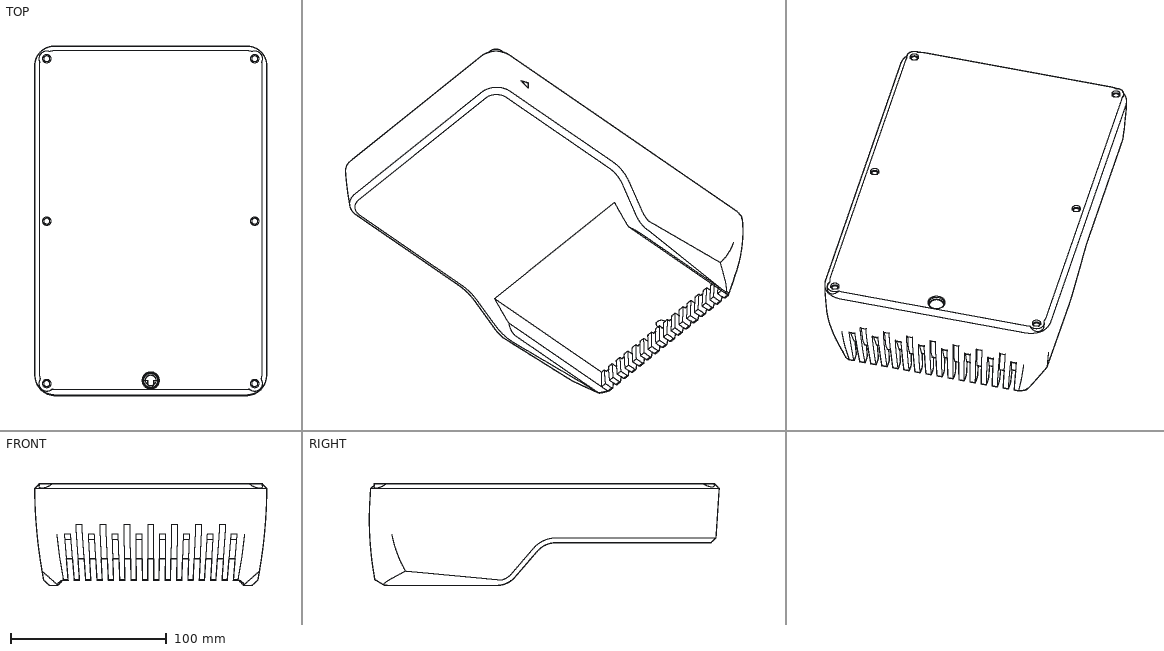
import cadquery as cq

height = 65.5
rear_y = 112.8
rear_foot_y = 110.3
front_rim_y = -111.5
front_middle_y = -112.3
front_foot_y = -108.3
half_width_rim = 74.7
half_width_middle = 73.2
half_width_foot = 68.2
corner_radius = 12.8
corner_growth = 12.4
corner_kink = 0.1
corner_flattening = 0.5
corner_sections = 5
rim_chamfer = 3.2
foot_chamfer = 3.2

step_z = 27.5
slope_top_y = 0.2
slope_foot_y = -23.5
slope_radius = 15.8

front_bevel_y = -102.6
front_bevel_slope = 0.6
flank_bevel_start_y = -29.3
flank_bevel_start_x = 65.3
flank_bevel_end_x = 59.6

recess_half_width = 56.7
recess_ceiling_z = 17.0
recess_front_y = -102.5
fin_foot_z = 3.2

slot_width = 3.8
slots_each_side = 7
end_slot_top_x = 53.8
end_slot_foot_x = 50.9
slot_pitch = end_slot_top_x / slots_each_side
slot_foot_pitch = end_slot_foot_x / slots_each_side
slot_bend_z = 36.0
slot_depth = 3.0
slot_floor_slope = 0.4
tall_slot_top_z = 39.5
tall_slot_edge_z = 24.0
short_slot_top_z = 33.3
short_slot_edge_z = 29.5

screw_x = 66.9
screw_y = 104.5
screw_collar_diameter = 10.0
screw_head_diameter = 5.5
screw_head_depth = 1.8
screw_diameter = 3.8
screw_depth = 9.0

port_y = -102.5
port_lead_in_diameter = 11.0
port_lead_in_depth = 0.56
port_bore_diameter = 10.0
port_bore_depth = 2.3
port_taper_top_diameter = 9.0
port_taper_foot_diameter = 6.8

arrow_tip_y = 89.1
arrow_base_y = 82.8
arrow_z = 46.1
arrow_half_height = 2.5
arrow_depth = 0.7

margin = 11.3


def bow(foot, middle, rim, z):
    """Position of a bowed wall at height z, as a parabola through its three driving points."""
    u = z / height
    bulge = middle - (rim + foot) / 2
    return foot + (rim - foot) * u + 4 * bulge * u * (1 - u)


def front_wall_y(z):
    return bow(front_foot_y, front_middle_y, front_rim_y, z)


def side_wall_x(z):
    return bow(half_width_foot, half_width_middle, half_width_rim, z)


def make_front_corner_cutter():
    """Waste outside the front +X corner, whose rounding lengthens along Y towards the foot."""
    cutter = cq.Workplane("XY")
    last_z = 0
    for step in range(corner_sections):
        z = height * step / (corner_sections - 1)
        wall_x = side_wall_x(z)
        wall_y = front_wall_y(z)
        drop = (1 - z / height) ** 3
        length = corner_radius + corner_growth * drop
        kink = corner_kink + corner_flattening * drop
        side_end = (wall_x, wall_y + length)
        front_end = (wall_x - corner_radius, wall_y)
        cutter = (
            cutter.workplane(offset=z - last_z)
            .moveTo(*side_end)
            .spline([front_end], tangents=[(-kink, -1), (-1, -kink)], includeCurrent=True)
            .lineTo(front_end[0], wall_y - margin)
            .lineTo(wall_x + margin, wall_y - margin)
            .lineTo(wall_x + margin, side_end[1])
            .close()
        )
        last_z = z
    return cutter.loft()


def make_body():
    across = (
        cq.Workplane("XZ")
        .moveTo(-half_width_foot, 0)
        .threePointArc((-half_width_middle, height / 2), (-half_width_rim, height))
        .lineTo(half_width_rim, height)
        .threePointArc((half_width_middle, height / 2), (half_width_foot, 0))
        .close()
        .extrude(rear_y + margin, both=True)
    )
    along = (
        cq.Workplane("YZ")
        .moveTo(front_foot_y, 0)
        .threePointArc((front_middle_y, height / 2), (front_rim_y, height))
        .lineTo(rear_y, height)
        .lineTo(rear_foot_y, step_z)
        .lineTo(slope_top_y, step_z)
        .lineTo(slope_foot_y, 0)
        .close()
        .extrude(half_width_rim + margin, both=True)
    )
    slope_corners = cq.selectors.BoxSelector(
        (-half_width_rim, slope_foot_y - margin, -margin),
        (half_width_rim, slope_top_y + margin, step_z + margin),
    )
    along = along.edges("|X").edges(slope_corners).fillet(slope_radius)
    body = across.intersect(along)
    rear_middle_z = (height + step_z) / 2
    for side in (-1, 1):
        corner = cq.selectors.NearestToPointSelector((side * half_width_middle, rear_y, rear_middle_z))
        body = body.edges(corner).fillet(corner_radius)
    body = body.faces("<Z").edges("<X or >X").chamfer(foot_chamfer)
    front_corner = make_front_corner_cutter()
    body = body.cut(front_corner).cut(front_corner.mirror("YZ"))
    return body.faces(">Z").chamfer(rim_chamfer)


def make_bevels():
    """Cutters for the bevel along the front foot and the wedge on each flank."""
    outside_y = front_foot_y - margin
    bevels = (
        cq.Workplane("YZ")
        .moveTo(front_bevel_y, 0)
        .lineTo(outside_y, front_bevel_slope * (front_bevel_y - outside_y))
        .lineTo(outside_y, -margin)
        .lineTo(front_bevel_y, -margin)
        .close()
        .extrude(half_width_rim, both=True)
    )
    taper = (flank_bevel_start_x - flank_bevel_end_x) / (flank_bevel_start_y - front_bevel_y)
    size = 2 * height + 2 * rear_y
    for side in (-1, 1):
        outward = cq.Plane(
            origin=(side * flank_bevel_start_x, flank_bevel_start_y, 0),
            xDir=(side * taper, 1, 0),
            normal=(side, -taper, -1),
        )
        bevels = bevels.union(cq.Workplane(outward).rect(size, size).extrude(2 * margin))
    return bevels


def make_recess():
    """Open recess in the underside, running out through the slope and under the fins."""
    recess = cq.Workplane("XY").box(
        2 * recess_half_width, -recess_front_y, recess_ceiling_z, centered=(True, False, False)
    ).translate((0, recess_front_y, 0))
    foot_half_width = recess_half_width + fin_foot_z
    mouth = (
        cq.Workplane("XZ")
        .polyline([
            (-foot_half_width, 0),
            (foot_half_width, 0),
            (recess_half_width, fin_foot_z),
            (-recess_half_width, fin_foot_z),
        ])
        .close()
        .extrude(rear_y + margin)
    )
    return recess.union(mouth)


def make_slot(index):
    """Slot between two fins; even slots are tall and odd ones short."""
    if index % 2 == 0:
        top_z, edge_z = tall_slot_top_z, tall_slot_edge_z
    else:
        top_z, edge_z = short_slot_top_z, short_slot_edge_z
    middle_z = (top_z + edge_z) / 2
    edge_y = front_wall_y(edge_z) + slot_depth
    inner_y = edge_y + slot_floor_slope * (edge_z - recess_ceiling_z)
    outside_y = -rear_y - margin
    side_shape = (
        cq.Workplane("YZ")
        .moveTo(outside_y, top_z)
        .lineTo(front_wall_y(top_z) + slot_depth, top_z)
        .threePointArc(
            (front_wall_y(middle_z) + slot_depth, middle_z),
            (edge_y, edge_z),
        )
        .lineTo(inner_y, recess_ceiling_z)
        .lineTo(recess_front_y, recess_ceiling_z)
        .lineTo(recess_front_y, 0)
        .lineTo(outside_y, 0)
        .close()
        .extrude(half_width_rim, both=True)
    )
    top_x = index * slot_pitch
    foot_x = index * slot_foot_pitch
    half = slot_width / 2
    front_shape = (
        cq.Workplane("XZ")
        .polyline([
            (top_x - half, height),
            (top_x - half, slot_bend_z),
            (foot_x - half, 0),
            (foot_x + half, 0),
            (top_x + half, slot_bend_z),
            (top_x + half, height),
        ])
        .close()
        .extrude(rear_y + margin)
    )
    return side_shape.intersect(front_shape)


def make_screw_collars():
    """Collars that keep the flat top whole around the corner screws."""
    return (
        cq.Workplane("XY", origin=(0, 0, height))
        .rect(2 * screw_x, 2 * screw_y, forConstruction=True)
        .vertices()
        .circle(screw_collar_diameter / 2)
        .extrude(-screw_depth)
    )


def make_screw_holes():
    """Blind counterbored screw holes along both long sides."""
    places = [(x, y) for x in (-screw_x, screw_x) for y in (-screw_y, 0, screw_y)]
    top = cq.Workplane("XY", origin=(0, 0, height)).pushPoints(places)
    heads = top.circle(screw_head_diameter / 2).extrude(-screw_head_depth)
    shanks = top.circle(screw_diameter / 2).extrude(-screw_depth)
    return heads.union(shanks)


def make_port():
    """Stepped, tapering port through the flat top, opening into the recess."""
    bore_foot_z = height - port_bore_depth
    return (
        cq.Workplane("XZ")
        .polyline([
            (0, height),
            (port_lead_in_diameter / 2, height),
            (port_bore_diameter / 2, height - port_lead_in_depth),
            (port_bore_diameter / 2, bore_foot_z),
            (port_taper_top_diameter / 2, bore_foot_z),
            (port_taper_foot_diameter / 2, recess_ceiling_z),
            (0, recess_ceiling_z),
        ])
        .close()
        .revolve(360, (0, 0, 0), (0, 1, 0))
        .translate((0, port_y, 0))
    )


def make_arrow():
    """Shallow triangle pointing to the rear on the -X flank."""
    return (
        cq.Workplane("YZ", origin=(-half_width_rim - margin, 0, 0))
        .polyline([
            (arrow_tip_y, arrow_z),
            (arrow_base_y, arrow_z + arrow_half_height),
            (arrow_base_y, arrow_z - arrow_half_height),
        ])
        .close()
        .extrude(margin + arrow_depth)
    )


result = make_body().cut(make_bevels()).cut(make_recess())
for index in range(-slots_each_side, slots_each_side + 1):
    result = result.cut(make_slot(index))
result = result.union(make_screw_collars()).cut(make_screw_holes())
result = result.cut(make_port()).cut(make_arrow())